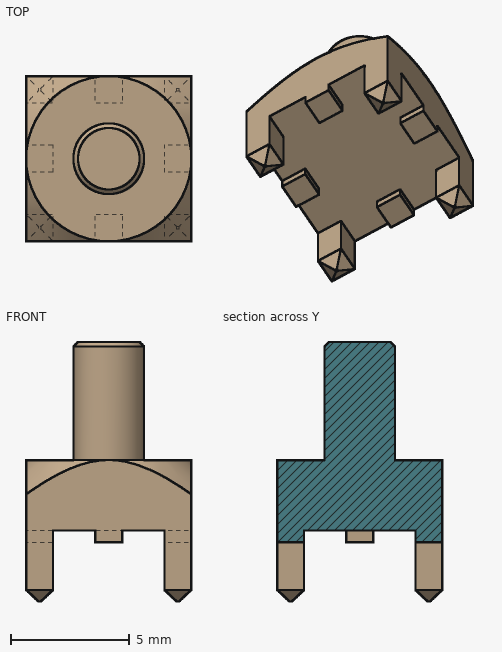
import cadquery as cq
import math

total_height = 11
body_width = 7.0
shoulder_height = 6.0
ceiling_height = 3.0
stud_diameter = 3.0
stud_chamfer = 0.2
leg_width = 1.14
tip_height = 0.5
tip_flat = 0.1
pad_drop = 0.5

half_width = body_width / 2
leg_offset = half_width - leg_width / 2
corner_radius = half_width * math.sqrt(2)
corner_drop = corner_radius - half_width


def square_block(width, bottom, top, x=0, y=0):
    """Upright square block centred on (x, y)."""
    return (
        cq.Workplane("XY", origin=(x, y, bottom))
        .rect(width, width)
        .extrude(top - bottom)
    )


def make_body():
    """Square body whose upper corners are turned down by a 45 degree cone."""
    block = square_block(body_width, ceiling_height, shoulder_height)
    turned_envelope = (
        cq.Workplane("XZ")
        .moveTo(0, ceiling_height)
        .lineTo(corner_radius, ceiling_height)
        .lineTo(corner_radius, shoulder_height - corner_drop)
        .lineTo(half_width, shoulder_height)
        .lineTo(0, shoulder_height)
        .close()
        .revolve(360, (0, 0, 0), (0, 1, 0))
    )
    return block.intersect(turned_envelope)


def make_stud():
    """Round stud with a chamfered end."""
    return (
        cq.Workplane("XY", origin=(0, 0, shoulder_height))
        .circle(stud_diameter / 2)
        .extrude(total_height - shoulder_height)
        .faces(">Z")
        .chamfer(stud_chamfer)
    )


def make_leg(x, y):
    """Square leg ending in a blunt pyramid."""
    shank = square_block(leg_width, tip_height, ceiling_height, x, y)
    tip = (
        cq.Workplane("XY", origin=(x, y, 0))
        .rect(tip_flat, tip_flat)
        .workplane(offset=tip_height)
        .rect(leg_width, leg_width)
        .loft(ruled=True)
    )
    return shank.union(tip)


result = make_body().union(make_stud())

for x in (-leg_offset, leg_offset):
    for y in (-leg_offset, leg_offset):
        result = result.union(make_leg(x, y))

for x, y in ((leg_offset, 0), (-leg_offset, 0), (0, leg_offset), (0, -leg_offset)):
    pad = square_block(leg_width, ceiling_height - pad_drop, ceiling_height, x, y)
    result = result.union(pad)